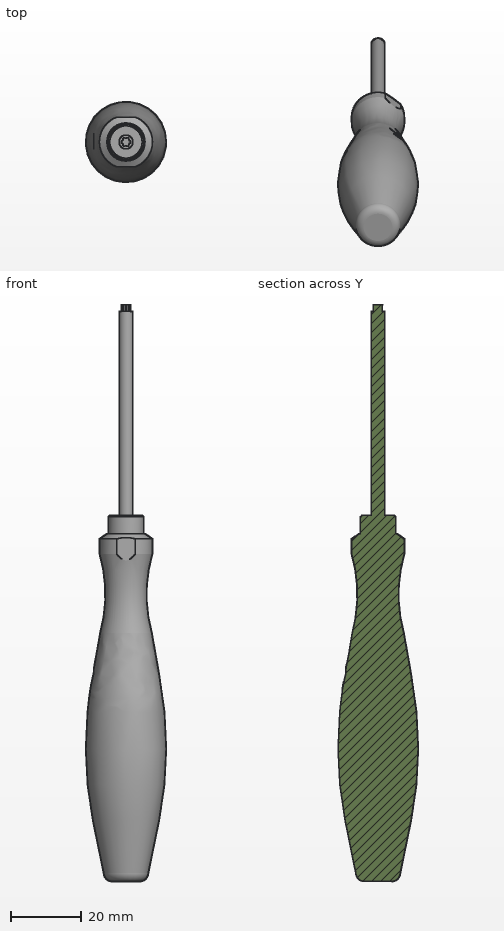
import cadquery as cq

butt_edge_z = 2.5
belly_z = 37.7
grip_top_z = 70.7
neck_z = 82.0
ring_bottom_z = 93.2
ring_edge_z = 97.4
ring_top_z = 98.9
collar_top_z = 104.1
shaft_top_z = 162.0
total_length = 164.0

butt_face_radius = 4.1
butt_edge_radius = 6.4
belly_radius = 11.5
grip_top_radius = 7.4
neck_radius = 5.9
ring_radius = 7.5
ring_top_radius = 5.4
collar_radius = 5.1
collar_chamfer = 0.5
shaft_radius = 2.0

lower_grip_points = [(8.7, 13.5), (10.8, 26.2)]
upper_grip_points = [(10.5, 52.5), (8.9, 62.3)]

butt_middle = (5.65, 0.74)

flat_offset = 7.0

lobe_count = 6
lobe_centre_radius = 1.0
lobe_radius = 0.36
tip_core_radius = 1.07


def make_handle():
    """Turned grip, neck, ring and collar."""
    grip_points = (
        lower_grip_points
        + [(belly_radius, belly_z)]
        + upper_grip_points
        + [(grip_top_radius, grip_top_z)]
    )
    return (
        cq.Workplane("XZ")
        .lineTo(butt_face_radius, 0)
        .threePointArc(butt_middle, (butt_edge_radius, butt_edge_z))
        .spline(grip_points, includeCurrent=True)
        .threePointArc((neck_radius, neck_z), (ring_radius, ring_bottom_z))
        .lineTo(ring_radius, ring_edge_z)
        .lineTo(ring_top_radius, ring_top_z)
        .lineTo(collar_radius, ring_top_z)
        .lineTo(collar_radius, collar_top_z - collar_chamfer)
        .lineTo(collar_radius - collar_chamfer, collar_top_z)
        .lineTo(0, collar_top_z)
        .close()
        .revolve(360, (0, 0, 0), (0, 1, 0))
    )


def cut_flats(handle):
    """Trim the ring and its shoulder to two flats facing -Y and +Y."""
    flat_height = ring_top_z - neck_z
    flat_depth = ring_radius
    for side in (-1, 1):
        cutter = (
            cq.Workplane("XY", origin=(0, side * (flat_offset + flat_depth / 2), neck_z))
            .rect(2 * ring_radius, flat_depth)
            .extrude(flat_height)
        )
        handle = handle.cut(cutter)
    return handle


def make_shaft():
    """Round blade rising from the collar."""
    return (
        cq.Workplane("XY", origin=(0, 0, collar_top_z))
        .circle(shaft_radius)
        .extrude(shaft_top_z - collar_top_z)
    )


def make_tip():
    """Six-lobed bit on the end of the blade."""
    base = cq.Workplane("XY", origin=(0, 0, shaft_top_z))
    tip_length = total_length - shaft_top_z
    tip = base.circle(tip_core_radius).extrude(tip_length)
    lobes = base.polarArray(lobe_centre_radius, 0, 360, lobe_count).circle(lobe_radius).extrude(tip_length)
    return tip.union(lobes)


result = cut_flats(make_handle()).union(make_shaft()).union(make_tip())